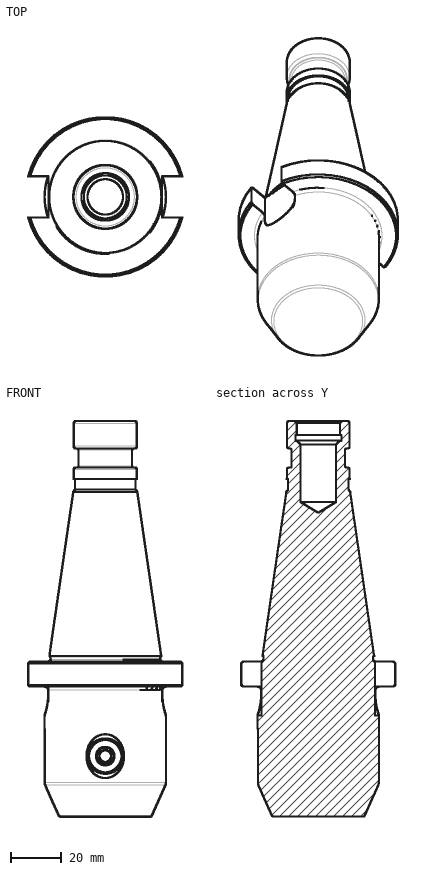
import cadquery as cq
import math

total_height = 156.4
gauge_height = 63.0
flange_top = gauge_height - 1.6
flange_thickness = 10.0
flange_bottom = flange_top - flange_thickness

body_radius = 24.0
nose_taper_height = 13.0
nose_taper_angle = 24.0
nose_edge_round = 1.0
nose_shoulder_round = 2.5
neck_fillet = 1.2

flange_radius = 31.5
flange_edge_chamfer = 0.75

relief_depth = 0.4
relief_fillet = 0.8

gauge_radius = 44.45 / 2
taper_length = 65.4
taper_rate = 7 / 24
taper_bottom = gauge_height + 0.5
taper_top = gauge_height + taper_length
taper_large_radius = gauge_radius - (taper_bottom - gauge_height) * taper_rate / 2
taper_small_radius = gauge_radius - taper_length * taper_rate / 2
taper_shoulder_height = 0.9

tail_radius = 12.5
tail_neck_radius = 12.0
tail_groove_radius = 10.6
groove_fillet = 0.6
collar_bottom = total_height - 23.0
collar_top = total_height - 18.4
cap_bottom = total_height - 11.0
cap_round = 1.0
collar_round = 0.8

drawbar_mouth_radius = 9.4
drawbar_bore_radius = 8.5
drawbar_bore_depth = 7.8
undercut_radius = 9.0
undercut_height = 2.2
drawbar_thread_radius = 7.0
drawbar_thread_depth = 32.0
drill_point_angle = 118.0

slot_width = 16.1
slot_floor_distance = 22.5
slot_depth = 21.3

screw_height = 24.0
screw_radius = 7.0
screw_face_distance = 23.4
screw_embed_distance = 20.0
screw_edge_chamfer = 0.6
seat_mouth_radius = 8.65
socket_across_flats = 6.0
socket_mouth_radius = 3.65
socket_depth = 5.0
socket_pilot_radius = 2.3
socket_pilot_depth = 6.0


def make_body():
    relief_radius = taper_large_radius - relief_depth
    taper_slope = math.radians(nose_taper_angle)
    nose_radius = body_radius - nose_taper_height * math.tan(taper_slope)
    round_tangent = nose_shoulder_round * math.tan(taper_slope / 2)
    round_start = (
        body_radius - round_tangent * math.sin(taper_slope),
        nose_taper_height - round_tangent * math.cos(taper_slope),
    )
    round_end = (body_radius, nose_taper_height + round_tangent)
    profile = (
        cq.Workplane("XZ")
        .moveTo(0, 0)
        .lineTo(nose_radius, 0)
        .lineTo(*round_start)
        .radiusArc(round_end, -nose_shoulder_round)
        .lineTo(body_radius, flange_bottom - neck_fillet)
        .radiusArc((body_radius + neck_fillet, flange_bottom), neck_fillet)
        .lineTo(flange_radius - flange_edge_chamfer, flange_bottom)
        .lineTo(flange_radius, flange_bottom + flange_edge_chamfer)
        .lineTo(flange_radius, flange_top - flange_edge_chamfer)
        .lineTo(flange_radius - flange_edge_chamfer, flange_top)
        .lineTo(relief_radius + relief_fillet, flange_top)
        .radiusArc((relief_radius, flange_top + relief_fillet), relief_fillet)
        .lineTo(relief_radius, taper_bottom - relief_depth)
        .radiusArc((taper_large_radius, taper_bottom), relief_depth)
        .lineTo(taper_small_radius, taper_top)
        .lineTo(tail_neck_radius, taper_top + taper_shoulder_height)
        .lineTo(tail_neck_radius, collar_bottom)
        .lineTo(tail_radius, collar_bottom)
        .lineTo(tail_radius, collar_top - collar_round)
        .radiusArc((tail_radius - collar_round, collar_top), -collar_round)
        .lineTo(tail_groove_radius + groove_fillet, collar_top)
        .radiusArc((tail_groove_radius, collar_top + groove_fillet), groove_fillet)
        .lineTo(tail_groove_radius, cap_bottom - groove_fillet)
        .radiusArc((tail_groove_radius + groove_fillet, cap_bottom), groove_fillet)
        .lineTo(tail_radius - cap_round, cap_bottom)
        .radiusArc((tail_radius, cap_bottom + cap_round), -cap_round)
        .lineTo(tail_radius, total_height - cap_round)
        .radiusArc((tail_radius - cap_round, total_height), -cap_round)
        .lineTo(0, total_height)
        .close()
    )
    body = profile.revolve(360, (0, 0), (0, 1))
    return body.faces("<Z").edges().fillet(nose_edge_round)


def make_drawbar_hole():
    mouth_chamfer = drawbar_mouth_radius - drawbar_bore_radius
    thread_lead = drawbar_bore_radius - drawbar_thread_radius
    bore_bottom = total_height - drawbar_bore_depth
    thread_bottom = total_height - drawbar_thread_depth
    point_height = drawbar_thread_radius / math.tan(math.radians(drill_point_angle / 2))
    profile = (
        cq.Workplane("XZ")
        .moveTo(0, total_height)
        .lineTo(drawbar_mouth_radius, total_height)
        .lineTo(drawbar_bore_radius, total_height - mouth_chamfer)
        .lineTo(drawbar_bore_radius, bore_bottom + undercut_height)
        .lineTo(undercut_radius, bore_bottom + undercut_height)
        .lineTo(undercut_radius, bore_bottom)
        .lineTo(drawbar_bore_radius, bore_bottom)
        .lineTo(drawbar_thread_radius, bore_bottom - thread_lead)
        .lineTo(drawbar_thread_radius, thread_bottom)
        .lineTo(0, thread_bottom - point_height)
        .close()
    )
    return profile.revolve(360, (0, 0), (0, 1))


def make_driving_slot(side):
    end_radius = slot_width / 2
    end_height = flange_top - slot_depth + end_radius
    outline = (
        cq.Workplane("YZ", origin=(side * slot_floor_distance, 0, 0))
        .moveTo(-end_radius, gauge_height)
        .lineTo(-end_radius, end_height)
        .threePointArc((0, end_height - end_radius), (end_radius, end_height))
        .lineTo(end_radius, gauge_height)
        .close()
    )
    return outline.extrude(side * flange_radius)


def make_screw_seat():
    seat_depth = seat_mouth_radius - screw_radius
    mouth = cq.Workplane("XZ", origin=(0, -body_radius, screw_height))
    return mouth.circle(seat_mouth_radius).extrude(-seat_depth, taper=45)


def make_screw_head():
    head_length = screw_face_distance - screw_embed_distance
    base = cq.Workplane("XZ", origin=(0, -screw_embed_distance, screw_height))
    head = base.circle(screw_radius).extrude(head_length)
    return head.faces("<Y").chamfer(screw_edge_chamfer)


def make_screw_socket():
    corner_diameter = socket_across_flats / math.cos(math.pi / 6)
    face = cq.Workplane("XZ", origin=(0, -screw_face_distance, screw_height))
    hexagon = face.polygon(6, corner_diameter).extrude(-socket_depth)
    mouth_depth = socket_mouth_radius - socket_across_flats / 2
    mouth = face.circle(socket_mouth_radius).extrude(-mouth_depth, taper=45)
    pilot = face.circle(socket_pilot_radius).extrude(-socket_pilot_depth)
    return hexagon.union(mouth).union(pilot)


result = make_body().cut(make_drawbar_hole())
for slot_side in (-1, 1):
    result = result.cut(make_driving_slot(slot_side))
result = result.cut(make_screw_seat()).union(make_screw_head()).cut(make_screw_socket())